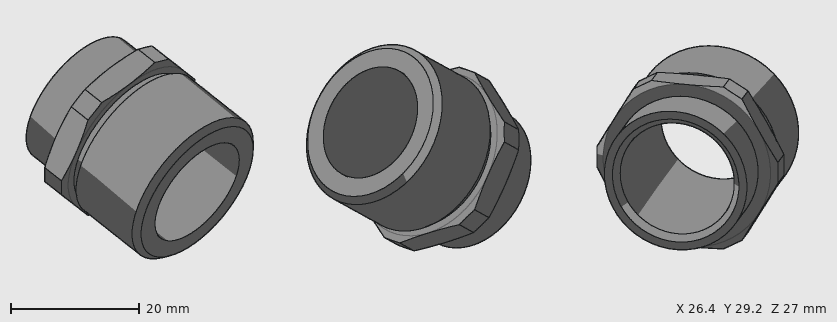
import cadquery as cq
import math


spigot_length = 6.95
hex_length = 4.5
relief_length = 1.5
thread_length = 13.5

spigot_diameter = 23.0
relief_diameter = 24.5
thread_diameter = 26.5
bore_diameter = 18.4

across_flats = 27.0
corner_trim = 2.0
collar_bevel_depth = 0.35

thread_chamfer = 1.0
bore_chamfer = 1.0

hex_start = spigot_length
hex_end = hex_start + hex_length
relief_end = hex_end + relief_length
total_length = relief_end + thread_length

inscribed_radius = across_flats / 2
corner_radius = across_flats / math.sqrt(3)
trimmed_radius = corner_radius - corner_trim / 2
bevel_slope = collar_bevel_depth / (trimmed_radius - inscribed_radius)


def cylinder(start, length, diameter):
    """Solid cylinder on the X axis, from start to start + length."""
    return cq.Workplane("YZ", origin=(start, 0, 0)).circle(diameter / 2).extrude(length)


def make_collar():
    """Hexagon with flats up and down, trimmed corners and both faces bevelled by cones."""
    hexagon = (
        cq.Workplane("YZ", origin=(hex_start, 0, 0))
        .polygon(6, 2 * corner_radius)
        .extrude(hex_length)
        .edges("|X")
        .chamfer(corner_trim)
    )
    rim_depth = bevel_slope * (corner_radius - inscribed_radius)
    bevel_envelope = (
        cq.Workplane("XY")
        .moveTo(hex_start, 0)
        .lineTo(hex_start, inscribed_radius)
        .lineTo(hex_start + rim_depth, corner_radius)
        .lineTo(hex_end - rim_depth, corner_radius)
        .lineTo(hex_end, inscribed_radius)
        .lineTo(hex_end, 0)
        .close()
        .revolve(360, (0, 0, 0), (1, 0, 0))
    )
    return hexagon.intersect(bevel_envelope)


def make_thread_body():
    """Plain thread cylinder with a chamfered outer end."""
    return cylinder(relief_end, thread_length, thread_diameter).faces(">X").chamfer(thread_chamfer)


def make_bore():
    """Through bore, widened by a conical lead-in at the spigot end."""
    bore_radius = bore_diameter / 2
    return (
        cq.Workplane("XY")
        .lineTo(0, bore_radius + bore_chamfer)
        .lineTo(bore_chamfer, bore_radius)
        .lineTo(total_length, bore_radius)
        .lineTo(total_length, 0)
        .close()
        .revolve(360, (0, 0, 0), (1, 0, 0))
    )


spigot = cylinder(0, spigot_length, spigot_diameter)
relief = cylinder(hex_end, relief_length, relief_diameter)

result = (
    spigot
    .union(make_collar())
    .union(relief)
    .union(make_thread_body())
    .cut(make_bore())
)